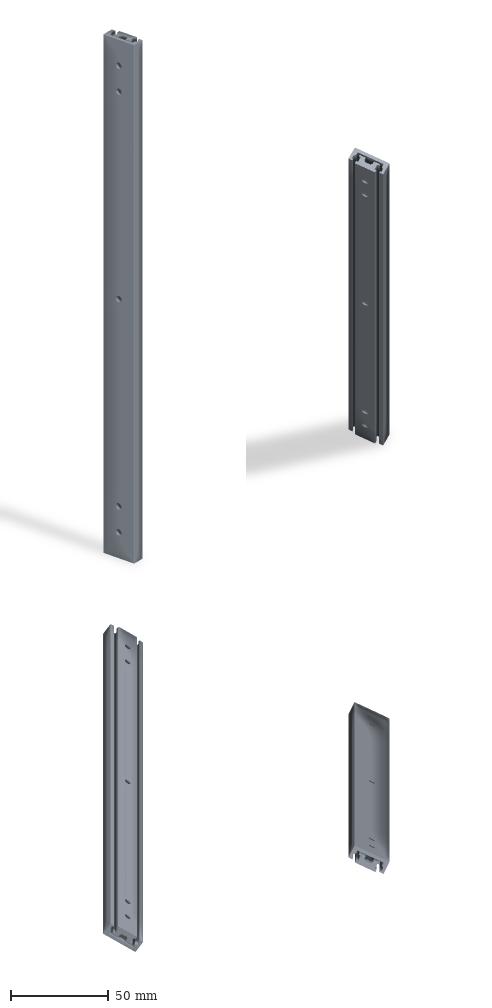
import cadquery as cq

length = 300.0
rail_width = 20.0
assembly_depth = 8.0

rail_depth = 7.2
floor_thickness = 1.8
groove_start = 3.5
groove_slope_end = 4.5
groove_end = 6.3
lower_opening = 15.0
groove_opening = 17.0
lip_opening = 15.5
rail_edge_radius = 0.3

floor_gap = 1.0
inner_width = 11.7
waist_width = 9.5
foot_thickness = 1.0
head_thickness = 1.5
head_edge_radius = 0.3
relief_bottom_width = 4.8
relief_top_width = 3.0
relief_depth = 2.5
relief_chamfer = 1.0

hole_diameter = 3.5
end_hole_height = 135.0
inboard_hole_height = 120.0
hole_heights = [-end_hole_height, -inboard_hole_height, 0, inboard_hole_height, end_hole_height]

rail_back = -assembly_depth / 2


def extrude_symmetric(half_outline):
    """Mirror a half outline of (width, depth) pairs about X = 0 and extrude it along Z."""
    right_side = [(width / 2, rail_back + depth) for width, depth in half_outline]
    left_side = [(-x, y) for x, y in reversed(right_side)]
    profile = cq.Workplane("XY").workplane(offset=-length / 2).polyline(right_side + left_side).close()
    return profile.extrude(length)


def drill_holes(body):
    """Cut the row of round screw holes through the body along Y."""
    centres = [(0, height) for height in hole_heights]
    drills = cq.Workplane("XZ").pushPoints(centres).circle(hole_diameter / 2)
    return body.cut(drills.extrude(assembly_depth, both=True))


def round_outer_edges(body, radius):
    """Round the long edges at the outermost front and back corners of the body."""
    return body.faces("<X or >X").edges("|Z").fillet(radius)


def make_outer_rail():
    outline = [
        (rail_width, 0),
        (rail_width, rail_depth),
        (lip_opening, rail_depth),
        (lip_opening, groove_end),
        (groove_opening, groove_end),
        (groove_opening, groove_slope_end),
        (lower_opening, groove_start),
        (lower_opening, floor_thickness),
    ]
    rail = round_outer_edges(extrude_symmetric(outline), rail_edge_radius)
    return drill_holes(rail)


def make_inner_rail():
    foot_bottom = floor_thickness + floor_gap
    foot_top = foot_bottom + foot_thickness
    head_bottom = assembly_depth - head_thickness
    relief_top = foot_bottom + relief_depth
    outline = [
        (relief_top_width, relief_top),
        (relief_bottom_width, relief_top - relief_chamfer),
        (relief_bottom_width, foot_bottom),
        (inner_width, foot_bottom),
        (inner_width, foot_top),
        (waist_width, foot_top),
        (waist_width, head_bottom),
        (inner_width, head_bottom),
        (inner_width, assembly_depth),
    ]
    bar = extrude_symmetric(outline)
    bar = bar.faces(">Y").edges("|Z").fillet(head_edge_radius)
    return drill_holes(bar)


outer_rail = make_outer_rail()
inner_rail = make_inner_rail()

result = cq.Compound.makeCompound([outer_rail.val(), inner_rail.val()])